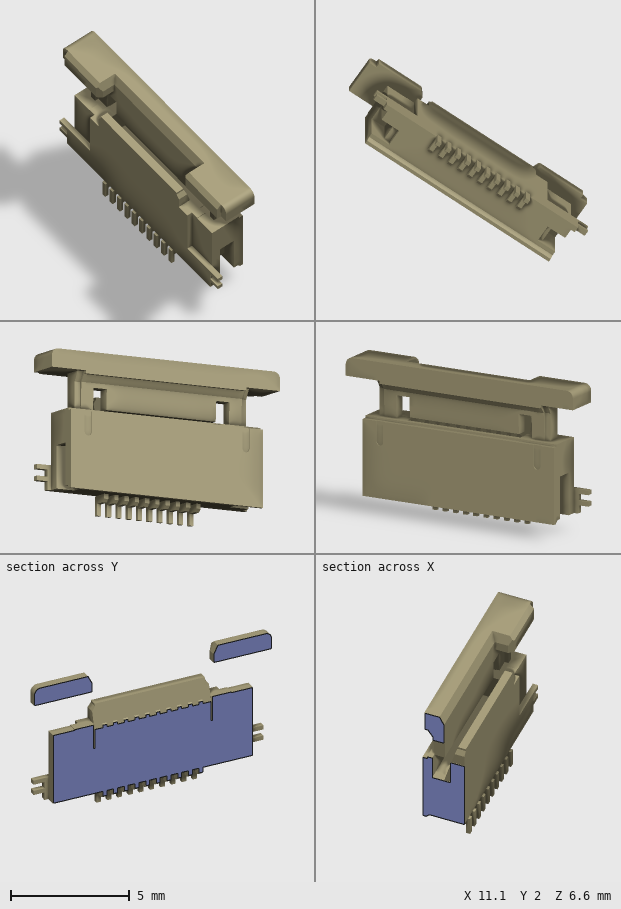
import cadquery as cq


BAR_WIDTH = 11.1
BAR_TOP = 6.6
BAR_BOTTOM = 5.79
BAR_BACK = 1.92
BAR_FRONT = 0.41
BAR_END_RADIUS = 0.3
GRIP_FRONT = 0.21
GRIP_HALF_WIDTH = 5.2
GRIP_CHAMFER = BAR_FRONT - GRIP_FRONT
NOTCH_HALF_WIDTH = 2.83
NOTCH_BEVEL_WIDTH = 0.2
NOTCH_BEVEL_HEIGHT = 0.4

PLATE_FRONT = 1.02
PLATE_HALF_WIDTH = 3.91
LIP_BOTTOM = 5.66
LIP_BACK = 1.76
WAIST_BACK = 1.55
WAIST_HEIGHT = 5.36
PLATE_FOOT_BACK = 1.49
ARM_FRONT = 0.84
ARM_BACK = 1.44
ARM_HALF_WIDTH = 4.17
ARM_TOP_BACK = 1.69
WINDOW_INNER = 2.66
WINDOW_OUTER = 3.31
WINDOW_TOP = 5.16
PLATE_BOTTOM = 4.27

HOUSING_WIDTH = 9.35
HOUSING_FRONT = 0.34
HOUSING_BACK = 2.0
HOUSING_BOTTOM = 0.84
HOUSING_TOP = 4.15
BACK_STEP_Y = 1.79
BACK_STEP_TOP = 4.05
BACK_RIM_BOTTOM = 0.7
BACK_RIM_Y = 1.85
BACK_RIM_RISE_Y = 1.71
PAD_TOP = 4.18
PAD_HALF_WIDTH = 3.66
PAD_STEP_Y = 0.79
PAD_BACK = 1.14
SLIDER_SEAT = 4.0

SIDE_SLOT_FRONT = 0.78
SIDE_SLOT_BACK = 1.52
SIDE_SLOT_TOP = 2.7
SIDE_SLOT_DEPTH = 0.64
SIDE_SLOT_FOOT_DEPTH = 0.89
SIDE_SLOT_FOOT_TOP = 1.22
GROOVE_X = 3.84
GROOVE_WIDTH = 0.33
GROOVE_DEPTH = 0.04
GROOVE_BOTTOM = 3.0

FACE_FRONT = 0.1
FACE_HALF_WIDTH = 3.31
BASE_HALF_WIDTH = 4.86
BASE_TOP = 1.91
EAR_HALF_WIDTH = 5.37
EAR_HEIGHT = 0.2
EAR_PITCH = 0.5
TONGUE_HALF_WIDTH = 2.73
TONGUE_TOP_HALF_WIDTH = 2.58
TONGUE_TOP = 5.0
TONGUE_CORNER_TOP = 4.9
TONGUE_CORNER_BOTTOM = 4.7
TONGUE_TOP_BACK = 0.45
TONGUE_FOOT_BACK = 0.7
TONGUE_STEEPNESS = (TONGUE_TOP - HOUSING_TOP) / (TONGUE_FOOT_BACK - TONGUE_TOP_BACK)

MOUTH_HALF_WIDTH = 2.78
MOUTH_SIDE_FRONT = 0.75
MOUTH_BACK = 1.55

PIN_COUNT = 10
PIN_PITCH = 0.5
PIN_WIDTH = 0.2
TAIL_BACK = 0.18
FOOT_BACK = 0.78
FOOT_BOTTOM = 0.5
FOOT_CHAMFER = 0.13
CONTACT_FRONT = 0.71
CONTACT_BACK = 0.78
CONTACT_TIP_DROP = 0.07


def block(x0, x1, y0, y1, z0, z1):
    """Box between the given limits."""
    return cq.Workplane("XY").box(x1 - x0, y1 - y0, z1 - z0, centered=False).translate((x0, y0, z0))


def centred_block(half_width, y0, y1, z0, z1):
    """Box symmetric about X = 0."""
    return block(-half_width, half_width, y0, y1, z0, z1)


def side_profile(points, half_width):
    """Outline of (Y, Z) points extruded symmetrically in X."""
    return cq.Workplane("YZ").polyline(points).close().extrude(half_width, both=True)


def front_profile(points, y0, y1):
    """Outline of (X, Z) points extruded from y0 back to y1."""
    return cq.Workplane("XZ", origin=(0, y0, 0)).polyline(points).close().extrude(y0 - y1)


def both_sides(shape):
    """The shape together with its mirror image in X."""
    return shape.union(shape.mirror("YZ"))


def make_bar():
    bar = centred_block(BAR_WIDTH / 2, BAR_FRONT, BAR_BACK, BAR_BOTTOM, BAR_TOP)
    bar = bar.edges("|Y and >Z").fillet(BAR_END_RADIUS)
    grip = side_profile(
        [
            (BAR_FRONT, BAR_BOTTOM),
            (GRIP_FRONT, BAR_BOTTOM),
            (GRIP_FRONT, BAR_TOP - GRIP_CHAMFER),
            (BAR_FRONT, BAR_TOP),
        ],
        GRIP_HALF_WIDTH,
    )
    bar = bar.union(grip)

    notch = centred_block(NOTCH_HALF_WIDTH, GRIP_FRONT, PLATE_FRONT, BAR_BOTTOM, BAR_TOP)
    bevel_bottom = BAR_TOP - NOTCH_BEVEL_HEIGHT
    bevel_half_width = NOTCH_HALF_WIDTH + NOTCH_BEVEL_WIDTH
    side_bevel = front_profile(
        [
            (-NOTCH_HALF_WIDTH, bevel_bottom),
            (NOTCH_HALF_WIDTH, bevel_bottom),
            (bevel_half_width, BAR_TOP),
            (-bevel_half_width, BAR_TOP),
        ],
        GRIP_FRONT,
        PLATE_FRONT + NOTCH_BEVEL_WIDTH,
    )
    back_bevel = side_profile(
        [
            (GRIP_FRONT, bevel_bottom),
            (PLATE_FRONT, bevel_bottom),
            (PLATE_FRONT + NOTCH_BEVEL_WIDTH, BAR_TOP),
            (GRIP_FRONT, BAR_TOP),
        ],
        bevel_half_width,
    )
    bar = bar.cut(notch).cut(side_bevel.intersect(back_bevel))

    corner = (
        cq.Workplane("XY", origin=(0, 0, BAR_BOTTOM))
        .moveTo(NOTCH_HALF_WIDTH, GRIP_FRONT)
        .lineTo(NOTCH_HALF_WIDTH + GRIP_CHAMFER, GRIP_FRONT)
        .lineTo(NOTCH_HALF_WIDTH, BAR_FRONT)
        .close()
        .extrude(BAR_TOP - BAR_BOTTOM)
    )
    return bar.cut(both_sides(corner))


def make_slider_plate():
    plate = side_profile(
        [
            (PLATE_FRONT, SLIDER_SEAT),
            (PLATE_FRONT, BAR_BOTTOM),
            (BAR_BACK, BAR_BOTTOM),
            (BAR_BACK, LIP_BOTTOM),
            (LIP_BACK, LIP_BOTTOM),
            (WAIST_BACK, WAIST_HEIGHT),
            (PLATE_FOOT_BACK, HOUSING_TOP),
            (PLATE_FOOT_BACK, SLIDER_SEAT),
        ],
        PLATE_HALF_WIDTH,
    )
    window = block(WINDOW_INNER, WINDOW_OUTER, PLATE_FRONT, BAR_BACK, PLATE_BOTTOM, WINDOW_TOP)
    opening = centred_block(WINDOW_OUTER, PLATE_FRONT, BAR_BACK, SLIDER_SEAT, PLATE_BOTTOM)
    arm_profile = side_profile(
        [
            (ARM_FRONT, SLIDER_SEAT),
            (ARM_FRONT, BAR_BOTTOM),
            (ARM_TOP_BACK, BAR_BOTTOM),
            (ARM_BACK, WAIST_HEIGHT),
            (ARM_BACK, SLIDER_SEAT),
        ],
        ARM_HALF_WIDTH,
    )
    arm = arm_profile.intersect(
        block(PLATE_HALF_WIDTH, ARM_HALF_WIDTH, ARM_FRONT, BAR_BACK, SLIDER_SEAT, BAR_BOTTOM)
    )
    return plate.cut(both_sides(window)).cut(opening).union(both_sides(arm))


def slope_height(y):
    """Height of the sloping back of the tongue at depth y."""
    return TONGUE_TOP - (y - TONGUE_TOP_BACK) * TONGUE_STEEPNESS


def make_housing():
    housing = side_profile(
        [
            (HOUSING_FRONT, HOUSING_BOTTOM),
            (HOUSING_FRONT, HOUSING_TOP),
            (BACK_STEP_Y, HOUSING_TOP),
            (BACK_STEP_Y, BACK_STEP_TOP),
            (HOUSING_BACK, BACK_STEP_TOP),
            (HOUSING_BACK, BACK_RIM_BOTTOM),
            (BACK_RIM_Y, BACK_RIM_BOTTOM),
            (BACK_RIM_RISE_Y, HOUSING_BOTTOM),
        ],
        HOUSING_WIDTH / 2,
    )
    front_pad = centred_block(PAD_HALF_WIDTH, HOUSING_FRONT, PAD_STEP_Y, HOUSING_BOTTOM, PAD_TOP)
    rear_pad = centred_block(WINDOW_OUTER, HOUSING_FRONT, PAD_BACK, HOUSING_BOTTOM, PAD_TOP)
    housing = housing.union(front_pad).union(rear_pad).cut(make_mouth())
    return housing.cut(both_sides(side_slot())).cut(both_sides(rear_groove()))


def make_mouth():
    """Space behind the tongue, with a narrow gap past each side of its slope."""
    start = TONGUE_FOOT_BACK - (PAD_TOP - HOUSING_TOP) / TONGUE_STEEPNESS
    floor = slope_height(PLATE_FRONT)
    mouth = side_profile(
        [
            (start, PAD_TOP),
            (PLATE_FRONT, floor),
            (MOUTH_BACK, floor),
            (MOUTH_BACK, PAD_TOP),
        ],
        TONGUE_HALF_WIDTH,
    )
    gap = block(
        TONGUE_HALF_WIDTH, MOUTH_HALF_WIDTH, MOUTH_SIDE_FRONT, MOUTH_BACK, floor, PAD_TOP
    )
    return mouth.union(both_sides(gap))


def side_slot():
    """Slot open at the side and bottom of the housing, deeper near the bottom."""
    side = HOUSING_WIDTH / 2
    slot = None
    for depth, top in (
        (SIDE_SLOT_DEPTH, SIDE_SLOT_TOP),
        (SIDE_SLOT_FOOT_DEPTH, SIDE_SLOT_FOOT_TOP),
    ):
        step = block(side - depth, side, SIDE_SLOT_FRONT, SIDE_SLOT_BACK, HOUSING_BOTTOM, top)
        slot = slot.union(step) if slot else step
    return slot


def rear_groove():
    """Shallow round-bottomed groove, open at the top of the back face."""
    radius = GROOVE_WIDTH / 2
    floor_y = HOUSING_BACK - GROOVE_DEPTH
    return (
        cq.Workplane("XZ", origin=(GROOVE_X, floor_y, GROOVE_BOTTOM + radius))
        .moveTo(-radius, 0)
        .threePointArc((0, -radius), (radius, 0))
        .lineTo(radius, BACK_STEP_TOP - GROOVE_BOTTOM - radius)
        .lineTo(-radius, BACK_STEP_TOP - GROOVE_BOTTOM - radius)
        .close()
        .extrude(-GROOVE_DEPTH)
    )


def make_front():
    face = centred_block(FACE_HALF_WIDTH, FACE_FRONT, HOUSING_FRONT, HOUSING_BOTTOM, PAD_TOP)
    base = centred_block(BASE_HALF_WIDTH, FACE_FRONT, HOUSING_FRONT, HOUSING_BOTTOM, BASE_TOP)
    front = face.union(base)
    for row in range(2):
        ear_top = BASE_TOP - row * EAR_PITCH
        ear = centred_block(EAR_HALF_WIDTH, FACE_FRONT, HOUSING_FRONT, ear_top - EAR_HEIGHT, ear_top)
        front = front.union(ear)
    return front


def make_tongue():
    """Tapered guide above the front face, narrowed at its upper corners."""
    wedge = side_profile(
        [
            (FACE_FRONT, HOUSING_TOP),
            (FACE_FRONT, TONGUE_TOP),
            (TONGUE_TOP_BACK, TONGUE_TOP),
            (TONGUE_FOOT_BACK, HOUSING_TOP),
        ],
        TONGUE_HALF_WIDTH,
    )
    outline = front_profile(
        [
            (-TONGUE_HALF_WIDTH, HOUSING_TOP),
            (TONGUE_HALF_WIDTH, HOUSING_TOP),
            (TONGUE_HALF_WIDTH, TONGUE_CORNER_BOTTOM),
            (TONGUE_TOP_HALF_WIDTH, TONGUE_CORNER_TOP),
            (TONGUE_TOP_HALF_WIDTH, TONGUE_TOP),
            (-TONGUE_TOP_HALF_WIDTH, TONGUE_TOP),
            (-TONGUE_TOP_HALF_WIDTH, TONGUE_CORNER_TOP),
            (-TONGUE_HALF_WIDTH, TONGUE_CORNER_BOTTOM),
        ],
        FACE_FRONT,
        TONGUE_FOOT_BACK,
    )
    return wedge.intersect(outline)


def make_contact():
    """Solder tail and foot below the housing, and the contact beam inside the mouth."""
    tail = side_profile(
        [
            (0, 0),
            (0, HOUSING_BOTTOM),
            (FOOT_BACK, HOUSING_BOTTOM),
            (FOOT_BACK, FOOT_BOTTOM + FOOT_CHAMFER),
            (FOOT_BACK - FOOT_CHAMFER, FOOT_BOTTOM),
            (TAIL_BACK, FOOT_BOTTOM),
            (TAIL_BACK, 0),
        ],
        PIN_WIDTH / 2,
    )
    tip = slope_height(CONTACT_FRONT)
    beam = side_profile(
        [
            (CONTACT_FRONT, HOUSING_BOTTOM),
            (CONTACT_FRONT, tip),
            (CONTACT_BACK, tip - CONTACT_TIP_DROP),
            (CONTACT_BACK, HOUSING_BOTTOM),
        ],
        PIN_WIDTH / 2,
    )
    return tail.union(beam)


result = make_housing().union(make_front()).union(make_tongue())
result = result.union(make_slider_plate()).union(make_bar())
contact = make_contact()
for index in range(PIN_COUNT):
    x = (index - (PIN_COUNT - 1) / 2) * PIN_PITCH
    result = result.union(contact.translate((x, 0, 0)))